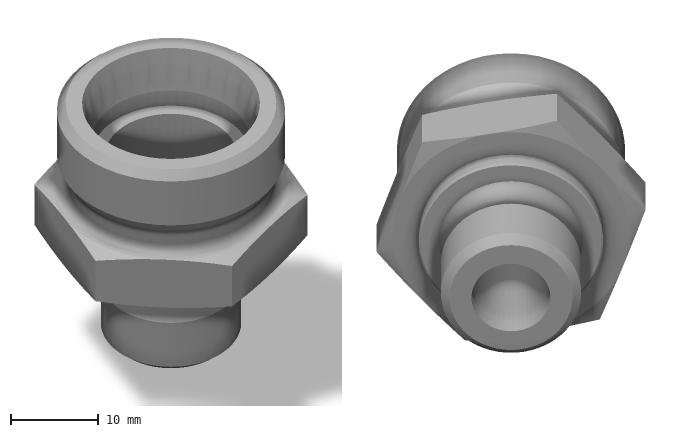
import cadquery as cq
import math

TOTAL_HEIGHT = 33.0
HEX_ACROSS_FLATS = 27.0
HEX_BOTTOM = 14.0
HEX_TOP = 21.0
HEX_CHAMFER_ANGLE = 15.0

STUD_DIAMETER = 16.0
PORT_DIAMETER = 26.0
THREAD_CHAMFER = 1.0

UNDERCUT_LENGTH = 4.6
UNDERCUT_DEPTH = 1.15
UNDERCUT_ANGLE = 30.0
UNDERCUT_RADIUS = 1.2
COLLAR_SIDE_ANGLE = 35.0
SHOULDER_FILLET = 1.0

COLLAR_DIAMETER = 21.0
COLLAR_BOTTOM = 12.0
COLLAR_CHAMFER = 0.2

TUBE_DIAMETER = 18.0
TUBE_SEAT_DEPTH = 7.5
SEAT_MOUTH_DIAMETER = 20.25
SEAT_HALF_ANGLE = 12.0
PORT_BORE_DIAMETER = 15.0
PORT_BORE_DEPTH = 15.0
PORT_BORE_TIP_HALF_ANGLE = 60.0
THROUGH_DIAMETER = 9.0


def tan_deg(angle):
    return math.tan(math.radians(angle))


def arc_point(center_radius, center_z, arc_radius, angle):
    """Point (radius, z) on the axis-facing side of an arc; the angle is measured from horizontal."""
    turn = math.radians(angle)
    return (center_radius - arc_radius * math.cos(turn), center_z + arc_radius * math.sin(turn))


def revolve_profile(profile):
    """Spin a closed (radius, z) profile about the Z axis."""
    return profile.close().revolve(360, (0, 0, 0), (0, 1, 0))


def make_hexagon():
    """Hexagon with corners on the Y axis and both ends chamfered by cones."""
    flat_radius = HEX_ACROSS_FLATS / 2
    corner_radius = flat_radius / math.cos(math.pi / 6)
    corner_drop = (corner_radius - flat_radius) * tan_deg(HEX_CHAMFER_ANGLE)
    prism = (
        cq.Workplane("XY", origin=(0, 0, HEX_BOTTOM))
        .polygon(6, 2 * corner_radius)
        .extrude(HEX_TOP - HEX_BOTTOM)
        .rotate((0, 0, 0), (0, 0, 1), 90)
    )
    envelope = revolve_profile(
        cq.Workplane("XZ")
        .moveTo(0, HEX_BOTTOM)
        .lineTo(flat_radius, HEX_BOTTOM)
        .lineTo(corner_radius, HEX_BOTTOM + corner_drop)
        .lineTo(corner_radius, HEX_TOP - corner_drop)
        .lineTo(flat_radius, HEX_TOP)
        .lineTo(0, HEX_TOP)
    )
    return prism.intersect(envelope)


def make_port():
    """Upper threaded end: shoulder fillet, undercut, thread and end chamfer."""
    radius = PORT_DIAMETER / 2
    root_radius = radius - UNDERCUT_DEPTH
    thread_start = HEX_TOP + UNDERCUT_LENGTH
    arc_center = root_radius + UNDERCUT_RADIUS
    arc_end_radius = arc_point(arc_center, 0, UNDERCUT_RADIUS, UNDERCUT_ANGLE)[0]
    arc_end_z = thread_start - (radius - arc_end_radius) / tan_deg(UNDERCUT_ANGLE)
    arc_start_z = arc_end_z - UNDERCUT_RADIUS * math.sin(math.radians(UNDERCUT_ANGLE))
    fillet_middle = arc_point(root_radius + SHOULDER_FILLET, HEX_TOP + SHOULDER_FILLET, SHOULDER_FILLET, -45)
    return revolve_profile(
        cq.Workplane("XZ")
        .moveTo(0, HEX_TOP)
        .lineTo(root_radius + SHOULDER_FILLET, HEX_TOP)
        .threePointArc(fillet_middle, (root_radius, HEX_TOP + SHOULDER_FILLET))
        .lineTo(root_radius, arc_start_z)
        .threePointArc(
            arc_point(arc_center, arc_start_z, UNDERCUT_RADIUS, UNDERCUT_ANGLE / 2),
            (arc_end_radius, arc_end_z),
        )
        .lineTo(radius, thread_start)
        .lineTo(radius, TOTAL_HEIGHT - THREAD_CHAMFER)
        .lineTo(radius - THREAD_CHAMFER, TOTAL_HEIGHT)
        .lineTo(0, TOTAL_HEIGHT)
    )


def make_stud():
    """Lower threaded end: end chamfer, thread, rounded V undercut and sealing collar."""
    radius = STUD_DIAMETER / 2
    root_radius = radius - UNDERCUT_DEPTH
    collar_radius = COLLAR_DIAMETER / 2
    thread_end = COLLAR_BOTTOM - UNDERCUT_LENGTH
    arc_center = root_radius + UNDERCUT_RADIUS
    arc_end_radius, arc_half_height = arc_point(arc_center, 0, UNDERCUT_RADIUS, UNDERCUT_ANGLE)
    cone_height = (radius - arc_end_radius) / tan_deg(UNDERCUT_ANGLE)
    root_z = thread_end + cone_height + arc_half_height
    upper_arc_radius, upper_arc_z = arc_point(arc_center, root_z, UNDERCUT_RADIUS, COLLAR_SIDE_ANGLE)
    collar_inner_radius = upper_arc_radius + (COLLAR_BOTTOM - upper_arc_z) * tan_deg(COLLAR_SIDE_ANGLE)
    return revolve_profile(
        cq.Workplane("XZ")
        .moveTo(0, 0)
        .lineTo(radius - THREAD_CHAMFER, 0)
        .lineTo(radius, THREAD_CHAMFER)
        .lineTo(radius, thread_end)
        .lineTo(arc_end_radius, root_z - arc_half_height)
        .threePointArc((root_radius, root_z), (upper_arc_radius, upper_arc_z))
        .lineTo(collar_inner_radius, COLLAR_BOTTOM)
        .lineTo(collar_radius - COLLAR_CHAMFER, COLLAR_BOTTOM)
        .lineTo(collar_radius, COLLAR_BOTTOM + COLLAR_CHAMFER)
        .lineTo(collar_radius, HEX_BOTTOM)
        .lineTo(0, HEX_BOTTOM)
    )


def make_bore():
    """Tube seat with conical mouth, port bore with drill-point bottom, and through hole."""
    mouth_radius = SEAT_MOUTH_DIAMETER / 2
    tube_radius = TUBE_DIAMETER / 2
    port_bore_radius = PORT_BORE_DIAMETER / 2
    through_radius = THROUGH_DIAMETER / 2
    seat_cone_end = TOTAL_HEIGHT - (mouth_radius - tube_radius) / tan_deg(SEAT_HALF_ANGLE)
    tube_stop = TOTAL_HEIGHT - TUBE_SEAT_DEPTH
    port_bore_end = TOTAL_HEIGHT - PORT_BORE_DEPTH
    tip_end = port_bore_end - (port_bore_radius - through_radius) / tan_deg(PORT_BORE_TIP_HALF_ANGLE)
    return revolve_profile(
        cq.Workplane("XZ")
        .moveTo(0, 0)
        .lineTo(through_radius, 0)
        .lineTo(through_radius, tip_end)
        .lineTo(port_bore_radius, port_bore_end)
        .lineTo(port_bore_radius, tube_stop)
        .lineTo(tube_radius, tube_stop)
        .lineTo(tube_radius, seat_cone_end)
        .lineTo(mouth_radius, TOTAL_HEIGHT)
        .lineTo(0, TOTAL_HEIGHT)
    )


result = make_hexagon().union(make_port()).union(make_stud()).cut(make_bore())